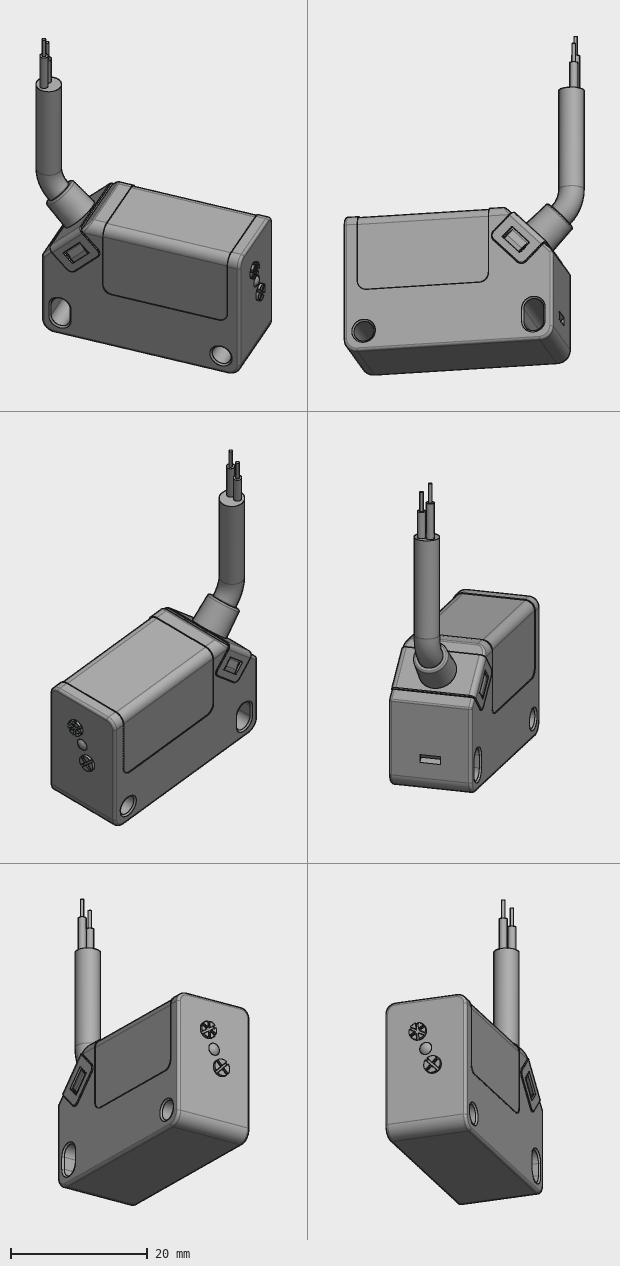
import cadquery as cq
import math

HOUSING_LENGTH = 31.3
HOUSING_WIDTH = 12.8
HOUSING_HEIGHT = 21.0
SLOPE_SIZE = 7.5
BOTTOM_CORNER_RADIUS = 2.0
TOP_FILLET = 1.6
EDGE_FILLET = 0.45
CUT_MARGIN = 0.5

RECESS_DEPTH = 0.15
RECESS_LEFT = 9.65
RECESS_RIGHT = 29.3
RECESS_BOTTOM = 9.35
RECESS_CORNER_RADIUS = 1.4

HOLE_DIAMETER = 3.0
HOLE_MOUTH_DIAMETER = 3.5
HOLE_X = 28.35
HOLE_Z = 3.0
SLOT_X = 2.9
SLOT_Z = 3.9
SLOT_TRAVEL = 1.95

NOTCH_LENGTH = 3.2
NOTCH_HEIGHT = 1.2
NOTCH_Z = 4.95

ADJUSTER_DIAMETER = 2.6
ADJUSTER_HEIGHT = 0.45
ADJUSTER_OFFSET_Y = 1.15
ADJUSTER_OFFSET_Z = 2.75
DRIVE_SLOT_WIDTH = 0.4
DRIVE_SLOT_DEPTH = 0.35
INDICATOR_Z = 13.1
INDICATOR_DIAMETER = 1.9
INDICATOR_HEIGHT = 0.45

PLUG_WIDTH = 13.05
PLUG_LENGTH = 7.0
PLUG_PROUD = 0.4
PLUG_DEPTH = 5.15
PLUG_CORNER_RADIUS = 0.95
PLUG_OUTER_FILLET = 0.85
PLUG_CHAMFER = 0.15
GROMMET_BASE_DIAMETER = 5.7
GROMMET_TIP_DIAMETER = 5.2
GROMMET_LENGTH = 4.6
GROMMET_FILLET = 0.3

WINDOW_LENGTH = 3.7
WINDOW_HEIGHT = 2.08
WINDOW_DEPTH = 0.35
WINDOW_TOP = 1.85
BARB_GAP = 0.3
BARB_RAMP = 1.1
BARB_BELOW_FACE = 0.1

CABLE_DIAMETER = 3.75
CABLE_X = -1.45
CABLE_TOP = 39.8
BEND_RADIUS = 5.4
BEND_ANGLE = math.radians(45)
WIRE_X = -1.95
WIRE_OFFSET_Y = 0.68
SLEEVE_DIAMETER = 1.2
CONDUCTOR_DIAMETER = 0.55
CONDUCTOR_LENGTH = 2.95
LONG_WIRE_TOP = 48.25
SHORT_WIRE_TOP = 46.8

SLOPE_CENTRE_X = SLOPE_SIZE / 2
SLOPE_CENTRE_Z = HOUSING_HEIGHT - SLOPE_SIZE / 2

PLUG_PLANE = cq.Plane(
    origin=(SLOPE_CENTRE_X, 0, SLOPE_CENTRE_Z), xDir=(1, 0, 1), normal=(-1, 0, 1)
)


def side_prism(outline, width):
    """Extrude an outline drawn in X and Z symmetrically across the width."""
    return outline.extrude(width / 2, both=True)


def make_block():
    """Housing block with all its rounded edges."""
    outline = (
        cq.Workplane("XZ")
        .moveTo(0, 0)
        .lineTo(HOUSING_LENGTH, 0)
        .lineTo(HOUSING_LENGTH, HOUSING_HEIGHT)
        .lineTo(SLOPE_SIZE, HOUSING_HEIGHT)
        .lineTo(0, HOUSING_HEIGHT - SLOPE_SIZE)
        .close()
    )
    block = side_prism(outline, HOUSING_WIDTH)
    block = block.faces("<Z").edges("|Y").fillet(BOTTOM_CORNER_RADIUS)
    block = block.faces(">Z").edges("|X").fillet(TOP_FILLET)
    sharp_edges = (
        block.faces("<Y or >Y").edges("not |X").vals()
        + block.faces("<Z").edges("|X").vals()
        + block.faces(">X").edges("not (|Z or <Z)").vals()
        + block.faces("<(1,0,-1)").edges("not |(1,0,1)").vals()
    )
    return block.newObject(sharp_edges).fillet(EDGE_FILLET)


def make_recess_cutter():
    """Shell-shaped cutter for the recess over the top and both sides."""
    length = RECESS_RIGHT - RECESS_LEFT
    top = HOUSING_HEIGHT + CUT_MARGIN
    outline = (
        cq.Workplane("XZ")
        .center(RECESS_LEFT + length / 2, (RECESS_BOTTOM + top) / 2)
        .rect(length, top - RECESS_BOTTOM)
    )
    cutter = side_prism(outline, HOUSING_WIDTH + 2 * CUT_MARGIN)
    cutter = cutter.faces("<Z").edges("|Y").fillet(RECESS_CORNER_RADIUS)
    core = (
        cq.Workplane("XY")
        .box(HOUSING_LENGTH, HOUSING_WIDTH - 2 * RECESS_DEPTH, HOUSING_HEIGHT - RECESS_DEPTH,
             centered=(False, True, False))
        .faces(">Z").edges("|X").fillet(TOP_FILLET - RECESS_DEPTH)
    )
    return cutter.cut(core)


def make_mounting_cutter(x, z, travel):
    """Upright slot (a round hole when travel is 0) with a chamfer at both mouths."""
    chamfer = (HOLE_MOUTH_DIAMETER - HOLE_DIAMETER) / 2
    outline = cq.Workplane("XZ").center(x, z)
    if travel:
        outline = outline.slot2D(travel + HOLE_DIAMETER, HOLE_DIAMETER, 90)
    else:
        outline = outline.circle(HOLE_DIAMETER / 2)
    cutter = side_prism(outline, HOUSING_WIDTH)
    for side in (-1, 1):
        mouth = cq.Workplane("XZ", origin=(x, side * HOUSING_WIDTH / 2, z))
        if travel:
            mouth = mouth.slot2D(travel + HOLE_MOUTH_DIAMETER, HOLE_MOUTH_DIAMETER, 90)
        else:
            mouth = mouth.circle(HOLE_MOUTH_DIAMETER / 2)
        cutter = cutter.union(mouth.extrude(side * chamfer, taper=45))
    return cutter


def make_notch_cutter():
    """Triangular prism that cuts the V groove in the left face."""
    outline = cq.Workplane("XZ").polyline([
        (0, NOTCH_Z - NOTCH_HEIGHT / 2),
        (NOTCH_HEIGHT / 2, NOTCH_Z),
        (0, NOTCH_Z + NOTCH_HEIGHT / 2),
    ]).close()
    return side_prism(outline, NOTCH_LENGTH)


def make_indicator():
    """Spherical cap that stands on the right face."""
    half = INDICATOR_DIAMETER / 2
    sphere_radius = (half**2 + INDICATOR_HEIGHT**2) / (2 * INDICATOR_HEIGHT)
    half_angle = math.asin(half / sphere_radius) / 2
    arc_middle = (
        INDICATOR_HEIGHT - sphere_radius * (1 - math.cos(half_angle)),
        sphere_radius * math.sin(half_angle),
    )
    return (
        cq.Workplane("XZ", origin=(HOUSING_LENGTH, 0, INDICATOR_Z))
        .lineTo(0, half)
        .threePointArc(arc_middle, (INDICATOR_HEIGHT, 0))
        .close()
        .revolve(360, (0, 0), (1, 0))
    )


def make_plug_block(width):
    """Plain plug block with rounded inner corners, also used to cut its seat."""
    return (
        cq.Workplane(PLUG_PLANE)
        .workplane(offset=PLUG_PROUD)
        .rect(PLUG_LENGTH, width)
        .extrude(-PLUG_DEPTH)
        .faces("<(-1,0,1)").edges("|Y").fillet(PLUG_CORNER_RADIUS)
    )


def make_housing():
    return (
        make_block()
        .cut(make_recess_cutter())
        .cut(make_mounting_cutter(HOLE_X, HOLE_Z, 0))
        .cut(make_mounting_cutter(SLOT_X, SLOT_Z, SLOT_TRAVEL))
        .cut(make_notch_cutter())
        .union(make_indicator())
        .cut(make_plug_block(HOUSING_WIDTH + 2 * CUT_MARGIN))
    )


def make_window_cutter(side):
    """Latch window in one side of the plug, leaving the ramped barb standing."""
    face = side * PLUG_WIDTH / 2
    floor = face - side * WINDOW_DEPTH
    barb_top = face - side * BARB_BELOW_FACE
    top = PLUG_PROUD - WINDOW_TOP
    bottom = top - WINDOW_HEIGHT
    section = cq.Plane(origin=PLUG_PLANE.origin, xDir=PLUG_PLANE.yDir, normal=PLUG_PLANE.xDir)
    window = (
        cq.Workplane(section)
        .polyline([(floor, top), (face, top), (face, bottom), (floor, bottom)])
        .close()
        .extrude(WINDOW_LENGTH / 2, both=True)
    )
    ramp_start = top - BARB_GAP
    barb = (
        cq.Workplane(section)
        .polyline([(floor, ramp_start), (barb_top, ramp_start - BARB_RAMP),
                   (barb_top, bottom), (floor, bottom)])
        .close()
        .extrude(WINDOW_LENGTH / 2 - BARB_GAP, both=True)
    )
    return window.cut(barb)


def make_plug():
    """Plug block with latch windows and the tapered grommet for the cable."""
    plug = make_plug_block(PLUG_WIDTH)
    plug = plug.faces(">(-1,0,1)").edges("not(|Y)").fillet(PLUG_OUTER_FILLET)
    plug = plug.faces("<Y or >Y").edges("not >(-1,0,1)").chamfer(PLUG_CHAMFER)
    for side in (-1, 1):
        plug = plug.cut(make_window_cutter(side))
    grommet = (
        cq.Workplane(PLUG_PLANE)
        .workplane(offset=PLUG_PROUD)
        .circle(GROMMET_BASE_DIAMETER / 2)
        .workplane(offset=GROMMET_LENGTH)
        .circle(GROMMET_TIP_DIAMETER / 2)
        .loft()
        .faces(">(-1,0,1)").edges().fillet(GROMMET_FILLET)
    )
    return plug.union(grommet)


def make_cable():
    """Cable that leaves the grommet tip at 45 degrees and bends upright."""
    tip = PLUG_PLANE.toWorldCoords((0, 0, PLUG_PROUD + GROMMET_LENGTH))
    crossing_z = SLOPE_CENTRE_Z + SLOPE_CENTRE_X - CABLE_X
    arc_top = crossing_z + BEND_RADIUS * math.tan(BEND_ANGLE / 2)
    bend_centre_x = CABLE_X + BEND_RADIUS

    def bend_point(angle):
        return (
            bend_centre_x - BEND_RADIUS * math.cos(angle),
            arc_top - BEND_RADIUS * math.sin(angle),
        )

    path = (
        cq.Workplane("XZ")
        .moveTo(CABLE_X, CABLE_TOP)
        .lineTo(CABLE_X, arc_top)
        .threePointArc(bend_point(BEND_ANGLE / 2), bend_point(BEND_ANGLE))
        .lineTo(tip.x, tip.z)
    )
    return cq.Workplane("XY", origin=(CABLE_X, 0, CABLE_TOP)).circle(CABLE_DIAMETER / 2).sweep(path)


def make_rod(y, bottom, top, diameter):
    """Upright round rod on the wires' X position."""
    return cq.Workplane("XY", origin=(WIRE_X, y, bottom)).circle(diameter / 2).extrude(top - bottom)


def make_sleeve(y, wire_top):
    return make_rod(y, CABLE_TOP, wire_top - CONDUCTOR_LENGTH, SLEEVE_DIAMETER)


def make_conductor(y, wire_top):
    return make_rod(y, wire_top - CONDUCTOR_LENGTH, wire_top, CONDUCTOR_DIAMETER)


def make_adjuster(y, z, slot_count, first_angle):
    """Round adjuster on the right face with crossing driver slots."""
    face = cq.Workplane("YZ", origin=(HOUSING_LENGTH, y, z))
    adjuster = face.circle(ADJUSTER_DIAMETER / 2).extrude(ADJUSTER_HEIGHT)
    slot = (
        face.workplane(offset=ADJUSTER_HEIGHT)
        .rect(2 * ADJUSTER_DIAMETER, DRIVE_SLOT_WIDTH)
        .extrude(-DRIVE_SLOT_DEPTH)
    )
    for i in range(slot_count):
        angle = first_angle + i * 180 / slot_count
        adjuster = adjuster.cut(slot.rotate((0, y, z), (1, y, z), angle))
    return adjuster


housing = make_housing()
plug = make_plug()
cable = make_cable()

wires = [(-WIRE_OFFSET_Y, LONG_WIRE_TOP), (WIRE_OFFSET_Y, SHORT_WIRE_TOP)]
sleeves = [make_sleeve(y, top).val() for y, top in wires]
conductors = [make_conductor(y, top).val() for y, top in wires]

adjuster_places = [(-1, 1, 3, -27), (1, -1, 2, 45)]
adjusters = [
    make_adjuster(
        side_y * ADJUSTER_OFFSET_Y, INDICATOR_Z + side_z * ADJUSTER_OFFSET_Z, count, angle
    ).val()
    for side_y, side_z, count, angle in adjuster_places
]

result = cq.Compound.makeCompound([
    housing.val(), plug.val(), cable.val(), *sleeves, *conductors, *adjusters,
])